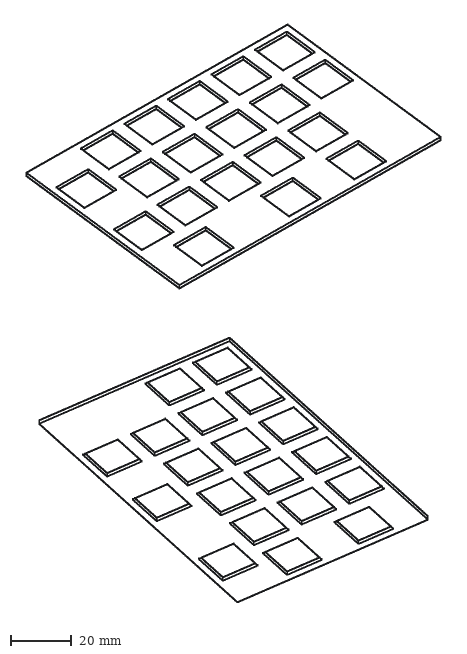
import cadquery as cq

columns = 4
rows = 6
plate_length = 114.3
plate_thickness = 1.5
opening_size = 14.0

key_pitch = plate_length / rows
plate_width = columns * key_pitch

top_row_keys = [(0, 0), (1, 0)]
main_block_keys = [(column, row) for row in range(1, 5) for column in range(3)]
right_column_keys = [(3, 1), (3, 2.5), (3, 4.5)]
bottom_row_keys = [(0.5, 5), (2, 5)]
keys = top_row_keys + main_block_keys + right_column_keys + bottom_row_keys


def key_center(column, row):
    """Center of a key, measured from the middle of the plate."""
    x = (column + 0.5) * key_pitch - plate_width / 2
    y = plate_length / 2 - (row + 0.5) * key_pitch
    return x, y


plate = cq.Workplane("XY").box(plate_width, plate_length, plate_thickness)

result = (
    plate.faces(">Z")
    .workplane(origin=(0, 0, 0))
    .pushPoints([key_center(column, row) for column, row in keys])
    .rect(opening_size, opening_size)
    .cutThruAll()
)